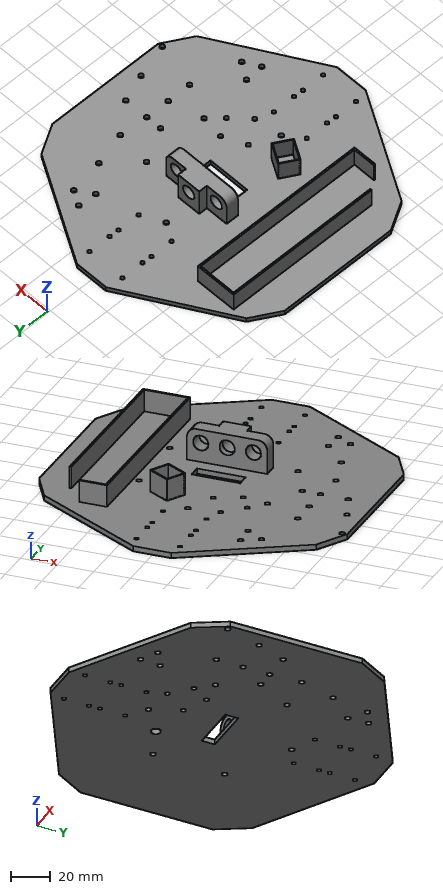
import cadquery as cq
import math

plate_width = 167.87
plate_length = 182.29
plate_thickness = 3.0
flat_length = 74.3
end_length = 20.7
shoulder_x = 74.0
shoulder_y = 54.4

mount_x = -1.6

servo_hole_diameter = 2.2
sensor_hole_diameter = 2.6
screw_hole_diameter = 2.9
servo_hole_pitch_x = 23.75
servo_hole_pitch_y = 14.15
servo_centers = [(0.03, 74.0), (-0.22, 53.85), (0.03, -55.35), (-0.22, -75.55)]
sensor_hole_points = [(19.35, -18.15), (5.6, -24.3), (25.7, -28.4), (15.35, -38.2)]
mount_circle_radius = 40.35
mount_hole_count = 6
column_x = 53.95
column_pitch = 15.0
row_points = [(44.0, 0), (69.05, 0)]
edge_pair_points = [(37.0, 64.2), (36.35, 52.85)]
edge_points = [
    (45.75, 59.15),
    (46.3, -59.15),
    (49.5, 37.95),
    (55.0, 17.6),
    (75.15, -16.6),
    (81.15, -37.3),
]

window_length = 26.4
window_width = 7.2

bracket_length = 43.7
bracket_thickness = 8.0
bracket_height = 18.0
bracket_front_y = 11.2
bracket_corner_radius = 5.0
bracket_hole_diameter = 8.25
bracket_hole_pitch = 14.35
bracket_hole_height = 10.6
pad_width = 15.2
narrow_hole_diameter = 8.23
narrow_hole_start = 4.0
pad_depth = 5.4

wall_height = 12.0
tray_wall = 1.0
tray_left = -65.5
tray_right = -39.8
tray_back = 55.2
tray_front = -54.6
tray_left_wall_end = -41.7
tray_front_wall_end = -54.9

box_length = 13.9
box_width = 11.8
box_wall = 0.6
box_center = (-17.6, -28.15)
box_angle = -30.0
box_hole_diameter = 5.0


def block(x_min, x_max, y_min, y_max, height):
    """Rectangular block standing on the plate's top face."""
    return (
        cq.Workplane("XY", origin=(0, 0, plate_thickness))
        .rect(x_max - x_min, y_max - y_min)
        .extrude(height)
        .translate(((x_min + x_max) / 2, (y_min + y_max) / 2, 0))
    )


def make_plate():
    quarter = [
        (plate_width / 2, flat_length / 2),
        (shoulder_x, shoulder_y),
        (end_length / 2, plate_length / 2),
    ]
    upper = quarter + [(-x, y) for x, y in reversed(quarter)]
    lower = [(-x, -y) for x, y in upper]
    return cq.Workplane("XY").polyline(upper + lower).close().extrude(plate_thickness)


def make_tray():
    right_wall = block(tray_right - tray_wall, tray_right, tray_front, tray_back, wall_height)
    back_wall = block(tray_left, tray_right, tray_back - tray_wall, tray_back, wall_height)
    left_wall = block(tray_left, tray_left + tray_wall, tray_left_wall_end, tray_back, wall_height)
    front_wall = block(tray_front_wall_end, tray_right, tray_front, tray_front + tray_wall, wall_height)
    return right_wall.union(back_wall).union(left_wall).union(front_wall)


def make_box():
    return (
        cq.Workplane("XY", origin=(*box_center, plate_thickness))
        .transformed(rotate=(0, 0, box_angle))
        .rect(box_length, box_width)
        .rect(box_length - 2 * box_wall, box_width - 2 * box_wall)
        .extrude(wall_height)
    )


def make_bracket():
    half_length = bracket_length / 2
    bracket_back_y = bracket_front_y + bracket_thickness
    body = block(
        mount_x - half_length, mount_x + half_length, bracket_front_y, bracket_back_y, bracket_height
    )
    body = body.edges("|Y and >Z").fillet(bracket_corner_radius)
    half_pad = pad_width / 2
    pad = block(
        mount_x - half_pad, mount_x + half_pad, bracket_back_y, bracket_back_y + pad_depth, bracket_height
    )
    hole_z = plate_thickness + bracket_hole_height
    side_holes = (
        cq.Workplane("XZ", origin=(mount_x, bracket_front_y, hole_z))
        .pushPoints([(-bracket_hole_pitch, 0), (bracket_hole_pitch, 0)])
        .circle(bracket_hole_diameter / 2)
        .extrude(-bracket_thickness)
    )
    middle_hole = (
        cq.Workplane("XZ", origin=(mount_x, bracket_front_y, hole_z))
        .circle(bracket_hole_diameter / 2)
        .extrude(-narrow_hole_start)
        .faces(">Y")
        .workplane()
        .circle(narrow_hole_diameter / 2)
        .extrude(bracket_thickness + pad_depth - narrow_hole_start)
    )
    return body.union(pad).cut(side_holes).cut(middle_hole)


def hole_pins(points, diameter):
    """Cylinders through the plate at the given points, to be cut away."""
    return cq.Workplane("XY").pushPoints(points).circle(diameter / 2).extrude(plate_thickness)


def servo_points():
    return [
        (x + side_x * servo_hole_pitch_x / 2, y + side_y * servo_hole_pitch_y / 2)
        for x, y in servo_centers
        for side_x in (-1, 1)
        for side_y in (-1, 1)
    ]


def mount_points():
    points = []
    for index in range(mount_hole_count):
        angle = math.radians(90 + index * 360 / mount_hole_count)
        x = mount_x + mount_circle_radius * math.cos(angle)
        points.append((x, mount_circle_radius * math.sin(angle)))
    return points


def screw_points():
    column = [(column_x, -step * column_pitch) for step in range(3)]
    mirrored_pair = [(x, -y) for x, y in edge_pair_points]
    return mount_points() + column + row_points + edge_pair_points + mirrored_pair + edge_points


window = (
    cq.Workplane("XY")
    .center(mount_x, 0)
    .rect(window_length, window_width)
    .extrude(plate_thickness)
)

result = make_plate().union(make_tray()).union(make_box()).union(make_bracket())
result = result.cut(window)
result = result.cut(hole_pins(servo_points(), servo_hole_diameter))
result = result.cut(hole_pins(sensor_hole_points, sensor_hole_diameter))
result = result.cut(hole_pins(screw_points(), screw_hole_diameter))
result = result.cut(hole_pins([box_center], box_hole_diameter))